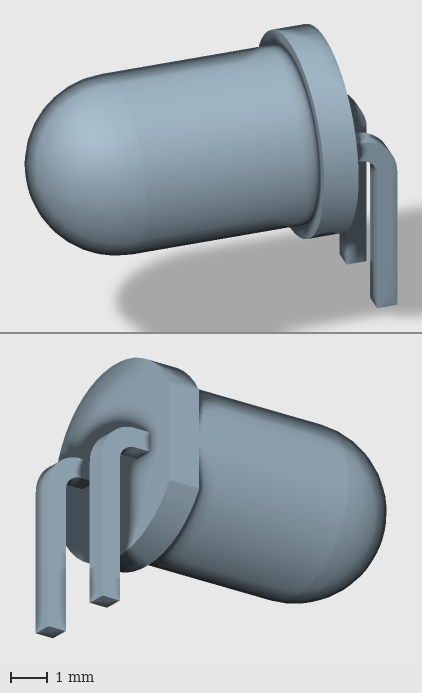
import cadquery as cq

lens_diameter = 5.0
lens_radius = lens_diameter / 2
barrel_length = 5.0
flange_radius = 2.9
flange_thickness = 1.0
flat_offset = lens_radius

lead_width = 0.6
lead_thickness = 0.58
lead_pitch = 2.54
lead_stub_length = 0.5
bend_inner_radius = 0.5
lead_leg_length = 4.2

flange_front = -flange_thickness
barrel_front = flange_front - barrel_length


def make_flange():
    """Round flange with a flat on its -X side."""
    disc = cq.Workplane("XZ").circle(flange_radius).extrude(flange_thickness)
    keep_width = flat_offset + flange_radius
    keep = (
        cq.Workplane("XZ")
        .center(keep_width / 2 - flat_offset, 0)
        .rect(keep_width, 2 * flange_radius)
        .extrude(flange_thickness)
    )
    return disc.intersect(keep)


def make_barrel():
    """Straight cylinder between the flange and the dome."""
    return cq.Workplane("XZ", origin=(0, flange_front, 0)).circle(lens_radius).extrude(barrel_length)


def make_dome():
    """Hemisphere that closes the front of the barrel."""
    tip = barrel_front - lens_radius
    axis_start = (0, barrel_front)
    axis_end = (0, tip)
    return (
        cq.Workplane("XY")
        .moveTo(*axis_start)
        .lineTo(lens_radius, barrel_front)
        .radiusArc(axis_end, lens_radius)
        .close()
        .revolve(360, axis_start, axis_end)
    )


def make_lead(x_center):
    """Flat-sided lead that leaves the flange toward +Y and bends down to -Z."""
    bend_radius = bend_inner_radius + lead_thickness / 2
    leg_y = lead_stub_length + bend_radius
    leg_end = -bend_radius - lead_leg_length
    path = (
        cq.Workplane("YZ", origin=(x_center, 0, 0))
        .lineTo(lead_stub_length, 0)
        .radiusArc((leg_y, -bend_radius), bend_radius)
        .lineTo(leg_y, leg_end)
    )
    profile = cq.Workplane("XZ", origin=(x_center, 0, 0)).rect(lead_width, lead_thickness)
    return profile.sweep(path, clean=False)


flange = make_flange()
barrel = make_barrel()
dome = make_dome()
leads = [make_lead(side * lead_pitch / 2) for side in (-1, 1)]

result = cq.Compound.makeCompound(
    [flange.val(), barrel.val(), dome.val(), *[lead.val() for lead in leads]]
)